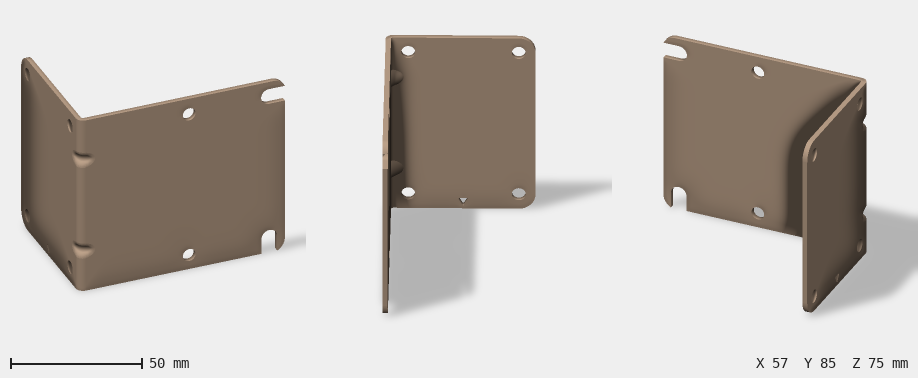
import cadquery as cq
import math

width = 57.0
depth = 85.0
height = 75.0
thickness = 2.0
bend_inner_radius = 0.9
bend_outer_radius = bend_inner_radius + thickness

hole_diameter = 5.3
hole_inset = 6.4
front_hole_right_x = 48.45
side_hole_y = 45.6
side_upper_hole_inset = 6.9
side_lower_hole_inset = 6.1
front_corner_radius = 6.4

slot_width = 6.5
slot_length = 9.8
slot_lip = 3.15
lip_radius = 5.6

triangle_x = 27.5
triangle_top_z = 4.5
triangle_side = 4.2
triangle_corner_radius = 0.4

dimple_inset = 17.5
dimple_outer_radius = 3.4
dimple_inner_radius = dimple_outer_radius - thickness
dimple_mouth_radius = 2.0
dimple_axis_distance = 2.8
dimple_bar_length = 34.0


def make_block():
    """Solid block with the rounded outer bend edge."""
    block = cq.Workplane("XY").box(width, depth, height, centered=False)
    return block.edges(">X and <Y").fillet(bend_outer_radius)


def make_inner_space():
    """Volume to remove between the plates, rounded along the inside of the bend."""
    space = cq.Workplane("XY").box(width - thickness, depth - thickness, height, centered=False)
    return space.translate((0, thickness, 0)).edges(">X and <Y").fillet(bend_inner_radius)


def dimple_bar(radius, z):
    """Round-nosed bar along (1, 1, 0), crossing the bend with its nose facing inward."""
    diagonal = math.sqrt(0.5)
    axis_offset = dimple_axis_distance * diagonal
    plane = cq.Plane(
        origin=(width - axis_offset, axis_offset, z),
        xDir=(-diagonal, diagonal, 0),
        normal=(diagonal, diagonal, 0),
    )
    return (
        cq.Workplane(plane)
        .moveTo(0, -radius)
        .threePointArc((radius, 0), (0, radius))
        .lineTo(-dimple_axis_distance, radius)
        .lineTo(-dimple_axis_distance, -radius)
        .close()
        .extrude(dimple_bar_length / 2, both=True)
    )


def cut_groove(block, z):
    """Cut the outer groove of one dimple and round its mouth."""
    grooved = block.cut(dimple_bar(dimple_inner_radius, z))
    reach = 3 * dimple_outer_radius
    mouth_box = cq.selectors.BoxSelector(
        (width - reach, -reach, z - dimple_outer_radius),
        (width + reach, reach, z + dimple_outer_radius),
    )
    mouth = mouth_box - cq.selectors.ParallelDirSelector(cq.Vector(1, 1, 0))
    mouth = mouth - cq.selectors.ParallelDirSelector(cq.Vector(0, 0, 1))
    return grooved.edges(mouth).fillet(dimple_mouth_radius)


def drill_front(body):
    """Four mounting holes through the front plate."""
    centres = [
        (x, z)
        for x in (hole_inset, front_hole_right_x)
        for z in (hole_inset, height - hole_inset)
    ]
    holes = cq.Workplane("XZ").pushPoints(centres).circle(hole_diameter / 2).extrude(-thickness)
    return body.cut(holes)


def drill_side(body):
    """Two mounting holes through the side plate."""
    centres = [(side_hole_y, side_lower_hole_inset), (side_hole_y, height - side_upper_hole_inset)]
    holes = (
        cq.Workplane("YZ", origin=(width - thickness, 0, 0))
        .pushPoints(centres)
        .circle(hole_diameter / 2)
        .extrude(thickness)
    )
    return body.cut(holes)


def round_front_corners(body):
    """Round the two free corners of the front plate."""
    return body.edges("<X and |Y").fillet(front_corner_radius)


def cut_triangle(body):
    """Triangular window with rounded corners."""
    triangle_height = triangle_side * math.sqrt(3) / 2
    window = (
        cq.Workplane("XZ")
        .moveTo(triangle_x - triangle_side / 2, triangle_top_z)
        .lineTo(triangle_x + triangle_side / 2, triangle_top_z)
        .lineTo(triangle_x, triangle_top_z - triangle_height)
        .close()
        .extrude(-thickness)
        .edges("|Y")
        .fillet(triangle_corner_radius)
    )
    return body.cut(window)


def cut_free_corner(body, place):
    """Open slot and curved lip at a free corner of the side plate.

    place(along, across) returns the (y, z) point at a distance along the slot from
    its open edge and at a distance across it from the neighbouring edge.
    """
    slot_radius = slot_width / 2
    far_side = slot_lip + slot_width
    straight_length = slot_length - slot_radius
    plate = cq.Workplane("YZ", origin=(width - thickness, 0, 0))
    slot = (
        plate.moveTo(*place(0, slot_lip))
        .lineTo(*place(straight_length, slot_lip))
        .threePointArc(place(slot_length, slot_lip + slot_radius), place(straight_length, far_side))
        .lineTo(*place(0, far_side))
        .close()
        .extrude(thickness)
    )
    sweep = math.acos(1 - slot_lip / lip_radius)
    lip_length = lip_radius * math.sin(sweep)
    arc_middle = place(
        lip_length - lip_radius * math.sin(sweep / 2),
        lip_radius * (1 - math.cos(sweep / 2)),
    )
    corner = (
        plate.moveTo(*place(0, 0))
        .lineTo(*place(lip_length, 0))
        .threePointArc(arc_middle, place(0, slot_lip))
        .close()
        .extrude(thickness)
    )
    return body.cut(slot).cut(corner)


def upper_corner(along, across):
    """Slot opening through the far end of the plate."""
    return (depth - along, height - across)


def lower_corner(along, across):
    """Slot opening through the bottom edge of the plate."""
    return (depth - across, along)


dimple_heights = (dimple_inset, height - dimple_inset)

outer_block = make_block()
inner_space = make_inner_space()
for dimple_z in dimple_heights:
    outer_block = cut_groove(outer_block, dimple_z)
    inner_space = inner_space.cut(dimple_bar(dimple_outer_radius, dimple_z))

bracket = outer_block.cut(inner_space)
bracket = round_front_corners(bracket)
bracket = drill_front(bracket)
bracket = drill_side(bracket)
bracket = cut_triangle(bracket)
for corner_place in (upper_corner, lower_corner):
    bracket = cut_free_corner(bracket, corner_place)

result = bracket